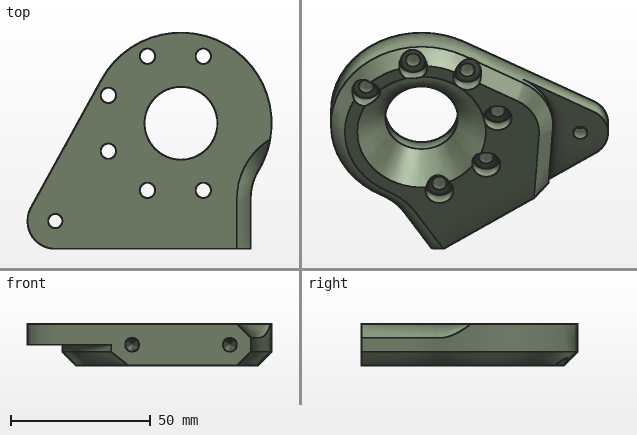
import cadquery as cq
import math


thickness = 15.0
thin_floor_z = thickness / 2
chamfer = 5.0
wall_top_z = thickness - chamfer

disc_radius = 32.5
pivot_radius = 10.0
pivot_x, pivot_y = -45.0, -35.0
front_y = pivot_y - pivot_radius
right_x = 25.0
neck_radius = 20.0
neck_x = right_x + neck_radius
neck_y = -math.sqrt((disc_radius + neck_radius) ** 2 - neck_x ** 2)

side_normal = (
    2 * math.pi
    + math.atan2(pivot_y, pivot_x)
    - math.acos((disc_radius - pivot_radius) / math.hypot(pivot_x, pivot_y))
)

step_radius = 20.0
step_y = -15.0
step_x = (disc_radius - step_radius - step_y * math.sin(side_normal)) / math.cos(side_normal)
step_front_x = -25.0

bore_diameter = 26.0
flare_height = 10.0

screw_diameter = 5.4
head_diameter = 10.0
head_depth = 5.5
pattern_x = -2.0
pattern_near = 10.0
pattern_far = 24.0
screw_points = []
for sign in (-1, 1):
    screw_points.append((pattern_x - pattern_near, sign * pattern_far))
    screw_points.append((pattern_x + pattern_near, sign * pattern_far))
    screw_points.append((pattern_x - pattern_far, sign * pattern_near))

pivot_hole_diameter = 5.0

front_hole_diameter = 5.0
front_hole_depth = 20.0
front_hole_x = 17.5
drill_point_angle = 118.0

overshoot = 8.0


def polar(center_x, center_y, radius, angle):
    """Point on a circle at an angle in radians."""
    return center_x + radius * math.cos(angle), center_y + radius * math.sin(angle)


def right_edges(outline):
    """Continue an outline from the front right corner up the right side, neck and disc."""
    neck_end_angle = math.atan2(-neck_y, -neck_x)
    neck_mid_angle = (neck_end_angle + math.pi) / 2
    disc_start_angle = math.atan2(neck_y, neck_x)
    disc_mid_angle = (side_normal + disc_start_angle) / 2
    return (
        outline.lineTo(right_x, neck_y)
        .threePointArc(
            polar(neck_x, neck_y, neck_radius, neck_mid_angle),
            polar(0, 0, disc_radius, disc_start_angle),
        )
        .threePointArc(
            polar(0, 0, disc_radius, disc_mid_angle),
            polar(0, 0, disc_radius, side_normal),
        )
    )


def upper_plate():
    """Full outline, from the thin floor to the top, rounded around the pivot."""
    pivot_mid_angle = (side_normal + 1.5 * math.pi) / 2
    outline = (
        cq.Workplane("XY", origin=(0, 0, thin_floor_z))
        .moveTo(pivot_x, front_y)
        .lineTo(right_x, front_y)
    )
    return (
        right_edges(outline)
        .lineTo(*polar(pivot_x, pivot_y, pivot_radius, side_normal))
        .threePointArc(
            polar(pivot_x, pivot_y, pivot_radius, pivot_mid_angle),
            (pivot_x, front_y),
        )
        .close()
        .extrude(thickness - thin_floor_z)
    )


def lower_plate():
    """Thick part below the thin floor, chamfered underneath on every side but the front."""
    to_front_angle = math.atan2(front_y - step_y, step_front_x - step_x)
    front_distance = math.hypot(step_front_x - step_x, front_y - step_y)
    tangent_angle = to_front_angle - math.acos(step_radius / front_distance)
    tangent_angle += 2 * math.pi
    tangent_x, tangent_y = polar(step_x, step_y, step_radius, tangent_angle)
    slope = (step_front_x - tangent_x) / (front_y - tangent_y)

    blank_front_y = front_y - overshoot
    blank_corner_x = step_front_x - slope * overshoot
    outline = cq.Workplane("XY").moveTo(blank_corner_x, blank_front_y).lineTo(right_x, blank_front_y)
    blank = (
        right_edges(outline)
        .lineTo(*polar(step_x, step_y, step_radius, side_normal))
        .threePointArc((step_x - step_radius, step_y), (tangent_x, tangent_y))
        .close()
        .extrude(thin_floor_z)
        .faces("<Z")
        .chamfer(chamfer)
    )
    trim_width = 2 * (right_x - blank_corner_x)
    trim = (
        cq.Workplane("XY", origin=(0, blank_front_y, 0))
        .box(trim_width, overshoot, thin_floor_z, centered=(True, False, False))
    )
    return blank.cut(trim)


def neck_chamfer_cutter():
    """45 degree bevel along the right side and, as a cone, around the neck."""
    side = (
        cq.Workplane("XZ", origin=(0, neck_y, 0))
        .moveTo(right_x - chamfer, thickness)
        .lineTo(right_x, wall_top_z)
        .lineTo(right_x, thickness)
        .close()
        .extrude(neck_y - front_y)
    )
    cone = cq.Solid.makeCone(
        neck_radius,
        neck_radius + chamfer,
        chamfer,
        pnt=cq.Vector(neck_x, neck_y, wall_top_z),
    )
    return side.union(cq.Workplane(cone))


def bore_cutter():
    """Through bore with a conical flare below."""
    bore_radius = bore_diameter / 2
    flare = cq.Solid.makeCone(bore_radius + flare_height, bore_radius, flare_height)
    return cq.Workplane("XY").circle(bore_radius).extrude(thickness).union(cq.Workplane(flare))


def screw_cutter():
    """Through holes with counterbores for the screw heads in the underside."""
    shafts = cq.Workplane("XY").pushPoints(screw_points).circle(screw_diameter / 2).extrude(thickness)
    heads = cq.Workplane("XY").pushPoints(screw_points).circle(head_diameter / 2).extrude(head_depth)
    return shafts.union(heads)


def pivot_hole_cutter():
    return cq.Workplane("XY").center(pivot_x, pivot_y).circle(pivot_hole_diameter / 2).extrude(thickness)


def front_hole_cutter(x):
    """Drilled hole with a conical end, running into the front face."""
    radius = front_hole_diameter / 2
    tip_length = radius / math.tan(math.radians(drill_point_angle / 2))
    return (
        cq.Workplane("XY", origin=(x, front_y, thin_floor_z))
        .lineTo(radius, 0)
        .lineTo(radius, front_hole_depth)
        .lineTo(0, front_hole_depth + tip_length)
        .close()
        .revolve(360, (0, 0, 0), (0, 1, 0))
    )


body = upper_plate().union(lower_plate())
body = body.cut(neck_chamfer_cutter())
body = body.cut(bore_cutter())
body = body.cut(screw_cutter())
body = body.cut(pivot_hole_cutter())
for hole_x in (-front_hole_x, front_hole_x):
    body = body.cut(front_hole_cutter(hole_x))

result = body